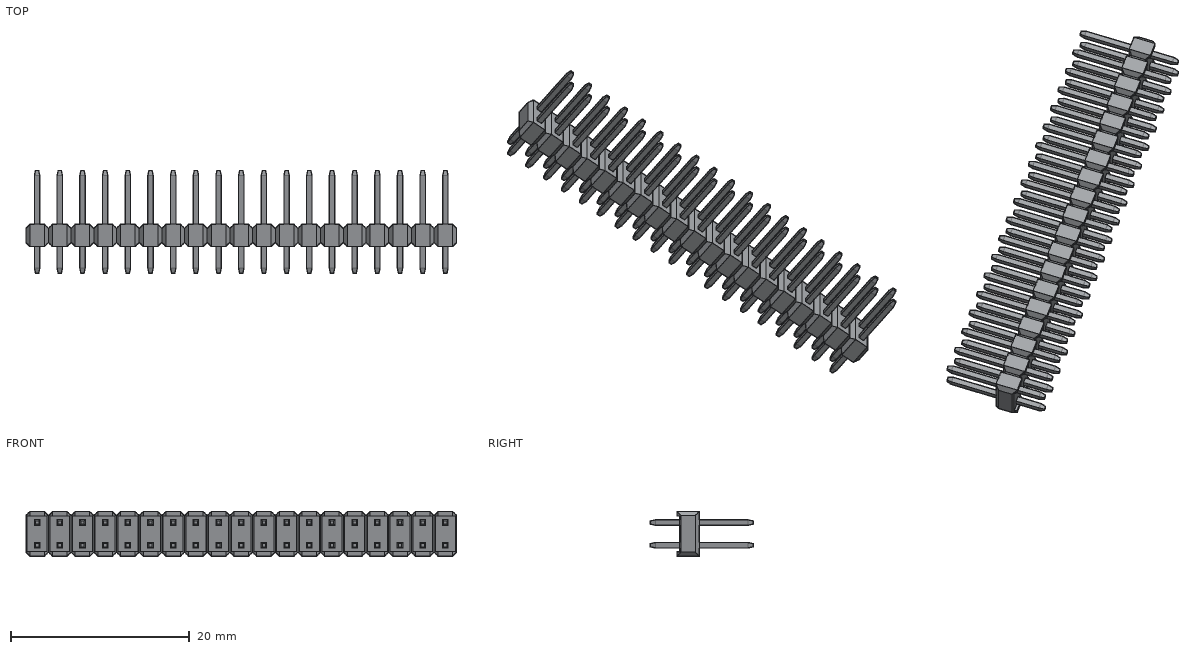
import cadquery as cq

cell_count = 19
length = 48.25
pitch = length / cell_count
row_spacing = pitch

housing_depth = 2.5
housing_height = 5.0
cell_chamfer = 0.46

recess_depth = 0.305
lip_height = 0.55

pin_width = 0.65
tip_width = 0.375
tip_length = 0.6
pin_back_reach = 6.05
pin_length = 11.55


def make_cell():
    """One housing cell: a block chamfered around both X ends and recessed at the front."""
    block = (
        cq.Workplane("XY")
        .box(pitch, housing_depth, housing_height)
        .faces("<X or >X")
        .chamfer(cell_chamfer)
        .translate((0, -housing_depth / 2, 0))
    )
    recess = cq.Workplane("XY").box(
        pitch, 2 * recess_depth, housing_height - 2 * lip_height
    )
    return block.cut(recess.translate((0, -housing_depth, 0)))


def make_tip():
    """A tapered tip growing along -Y from the origin."""
    return (
        cq.Workplane("XZ")
        .rect(pin_width, pin_width)
        .workplane(offset=tip_length)
        .rect(tip_width, tip_width)
        .loft(ruled=True)
    )


def make_pin():
    """A square pin along Y, tapered at both ends."""
    shaft_length = pin_length - 2 * tip_length
    shaft_back = pin_back_reach - tip_length
    shaft = (
        cq.Workplane("XZ", origin=(0, shaft_back, 0))
        .rect(pin_width, pin_width)
        .extrude(shaft_length)
    )
    front_tip = make_tip().translate((0, shaft_back - shaft_length, 0))
    back_tip = make_tip().mirror("XZ").translate((0, shaft_back, 0))
    return shaft.union(front_tip).union(back_tip)


pin = make_pin()
cell = make_cell()
for row_side in (-1, 1):
    cell = cell.union(pin.translate((0, 0, row_side * row_spacing / 2)))

result = cell
for index in range(1, cell_count):
    result = result.union(cell.translate((index * pitch, 0, 0)))